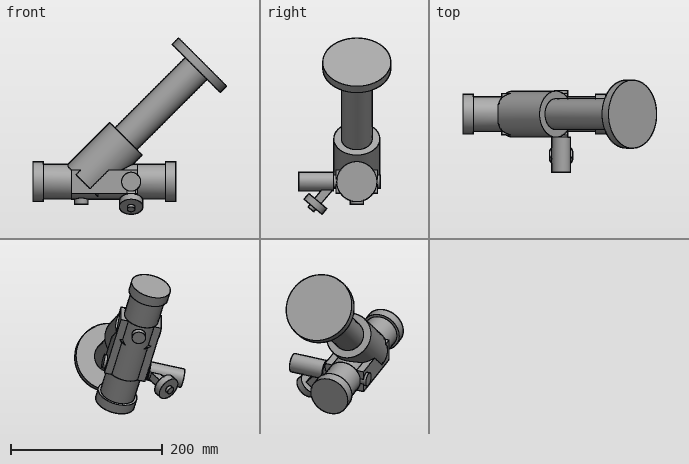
import cadquery as cq
import math

pipe_length = 189.0
pipe_diameter = 46
collar_diameter = 53.0
collar_width = 14.0

body_start = 51.2
body_length = 86.8
body_width = 55.0
body_height = 30.7
body_barrel_diameter = 46.5

branch_start_x = 66.3
branch_angle = math.radians(45)
sleeve_diameter = 61.0
sleeve_length = 80.0
stem_diameter = 41
handwheel_diameter = 90.0
handwheel_thickness = 12.0
branch_length = 223.2

boss_diameter = 18
drain_x = 64
drain_depth = 30.0

valve_x = 129.8
cross_boss_reach = 31.2
side_cylinder_diameter = 25.0
side_cylinder_start = 30.5
side_cylinder_end = 76.8

lever_start_y = -30.0
lever_tilt = math.radians(40)
lever_size = 11.3
knob_diameter = 31.2
knob_thickness = 10.0
knob_face_distance = 43.3
tip_diameter = 10.0
tip_length = 4.4


def cylinder(diameter, length, start, direction):
    """Solid cylinder that begins at a point and runs along a direction."""
    return cq.Workplane(cq.Solid.makeCylinder(diameter / 2, length, cq.Vector(*start), cq.Vector(*direction)))


def make_main_pipe():
    along_x = (1, 0, 0)
    pipe = cylinder(pipe_diameter, pipe_length, (0, 0, 0), along_x)
    for collar_x in (0, pipe_length - collar_width):
        pipe = pipe.union(cylinder(collar_diameter, collar_width, (collar_x, 0, 0), along_x))
    return pipe


def make_body():
    block = cq.Workplane().box(body_length, body_width, body_height, centered=(False, True, True))
    block = block.translate((body_start, 0, 0))
    return block.union(cylinder(body_barrel_diameter, body_length, (body_start, 0, 0), (1, 0, 0)))


def make_branch():
    rise = (math.cos(branch_angle), 0, math.sin(branch_angle))

    def branch_cylinder(diameter, begin, end):
        start = (branch_start_x + begin * rise[0], 0, begin * rise[2])
        return cylinder(diameter, end - begin, start, rise)

    sleeve = branch_cylinder(sleeve_diameter, 0, sleeve_length)
    stem = branch_cylinder(stem_diameter, 0, branch_length)
    handwheel = branch_cylinder(handwheel_diameter, branch_length - handwheel_thickness, branch_length)
    return sleeve.union(stem).union(handwheel)


def make_drain_boss():
    return cylinder(boss_diameter, drain_depth, (drain_x, 0, 0), (0, 0, -1))


def make_side_valve():
    cross_boss = cylinder(boss_diameter, 2 * cross_boss_reach, (valve_x, -cross_boss_reach, 0), (0, 1, 0))
    side_length = side_cylinder_end - side_cylinder_start
    side = cylinder(side_cylinder_diameter, side_length, (valve_x, -side_cylinder_start, 0), (0, -1, 0))
    return cross_boss.union(side)


def make_lever():
    knob_start = knob_face_distance - knob_thickness
    bar = cq.Workplane().box(lever_size, lever_size, knob_start, centered=(True, True, False))
    knob = cylinder(knob_diameter, knob_thickness, (0, 0, knob_start), (0, 0, 1))
    tip = cylinder(tip_diameter, tip_length, (0, 0, knob_face_distance), (0, 0, 1))
    lever = bar.union(knob).union(tip)
    lever = lever.rotate((0, 0, 0), (1, 0, 0), 180 - math.degrees(lever_tilt))
    return lever.translate((valve_x, lever_start_y, 0))


result = (
    make_main_pipe()
    .union(make_body())
    .union(make_branch())
    .union(make_drain_boss())
    .union(make_side_valve())
    .union(make_lever())
)